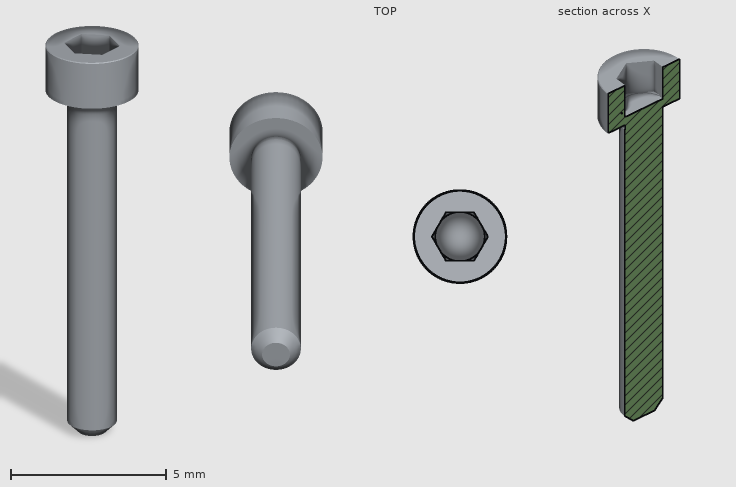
import cadquery as cq
import math

total_length = 13.6
head_diameter = 3.0
head_height = 1.6
shank_diameter = 1.6
shank_length = total_length - head_height

neck_diameter = 1.59
neck_length = 0.16

head_edge_chamfer = 0.03
tip_chamfer_height = 0.35
tip_diameter = 0.9

socket_across_flats = 1.56
socket_depth = 1.22
recess_diameter = 1.59
recess_depth = 0.04


def make_head():
    head = cq.Workplane("XY").workplane(offset=shank_length)
    head = head.circle(head_diameter / 2).extrude(head_height)
    return head.faces(">Z").edges().chamfer(head_edge_chamfer)


def make_shank():
    """Shank with a tapered tip and a relieved neck, turned about Z."""
    shank_radius = shank_diameter / 2
    neck_radius = neck_diameter / 2
    neck_start = shank_length - neck_length
    profile = (
        cq.Workplane("XZ")
        .lineTo(tip_diameter / 2, 0)
        .lineTo(shank_radius, tip_chamfer_height)
        .lineTo(shank_radius, neck_start)
        .lineTo(neck_radius, neck_start)
        .lineTo(neck_radius, shank_length)
        .lineTo(0, shank_length)
        .close()
    )
    return profile.revolve(360, (0, 0, 0), (0, 1, 0))


def make_socket():
    """Hexagonal cavity, two corners on the X axis; a disc trims the corners of its lowest layer."""
    across_corners = socket_across_flats / math.cos(math.radians(30))
    lowest_z = total_length - socket_depth - recess_depth
    lowest_plane = cq.Workplane("XY").workplane(offset=lowest_z)
    hexagon = lowest_plane.polygon(6, across_corners).extrude(socket_depth + recess_depth)
    upper_part = hexagon.translate((0, 0, recess_depth))
    recess = lowest_plane.circle(recess_diameter / 2).extrude(recess_depth).intersect(hexagon)
    return upper_part.union(recess)


result = make_head().union(make_shank()).cut(make_socket())